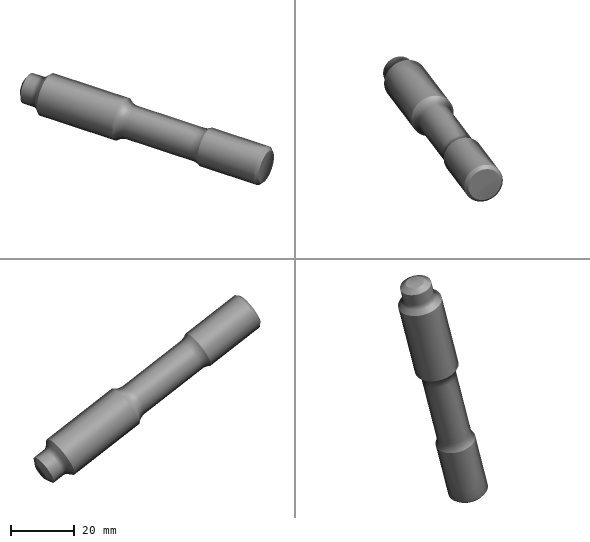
import cadquery as cq
import math

length = 85.0
tip_radius = 3.0
pilot_radius = 5.0
body_radius = 7.01
neck_radius = 5.5
head_radius = 6.4

tip_chamfer_length = 1.2
body_start = 8.0
body_end = 34.4
head_start = 64.0

cone_angle = math.radians(45)
pilot_fillet = 2.0
neck_fillet = 5.0
end_chamfer = 1.0


def blend_length(radius, rise):
    """Extent along its tangent of an arc that leaves that tangent by the given rise."""
    return math.sqrt(2 * radius * rise - rise**2)


fillet_top_radius = pilot_radius + pilot_fillet * (1 - math.cos(cone_angle))
fillet_end = body_start - (body_radius - fillet_top_radius) / math.tan(cone_angle)
fillet_start = fillet_end - pilot_fillet * math.sin(cone_angle)

neck_start = body_end + blend_length(neck_fillet, body_radius - neck_radius)
neck_end = head_start - blend_length(neck_fillet, head_radius - neck_radius)

half_profile = (
    cq.Workplane("XY")
    .moveTo(0, 0)
    .lineTo(0, tip_radius)
    .lineTo(tip_chamfer_length, pilot_radius)
    .lineTo(fillet_start, pilot_radius)
    .radiusArc((fillet_end, fillet_top_radius), -pilot_fillet)
    .lineTo(body_start, body_radius)
    .lineTo(body_end, body_radius)
    .radiusArc((neck_start, neck_radius), -neck_fillet)
    .lineTo(neck_end, neck_radius)
    .radiusArc((head_start, head_radius), -neck_fillet)
    .lineTo(length - end_chamfer, head_radius)
    .lineTo(length, head_radius - end_chamfer)
    .lineTo(length, 0)
    .close()
)

result = half_profile.revolve(360, (0, 0, 0), (1, 0, 0))